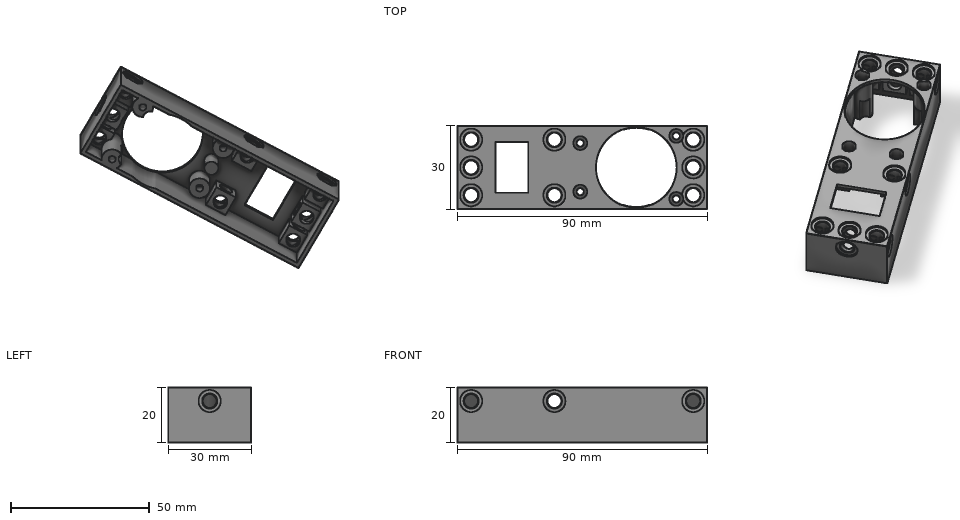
import cadquery as cq
LENGTH = 90.0
WIDTH = 30.0
HEIGHT = 20.0
WALL = 1.5
EDGE_CHAMFER = 0.15

PITCH = 10.0
EDGE_OFFSET = PITCH / 2
MIDDLE_X = 35.0
PEG_DIAMETER = 5.0
PEG_CHAMFER = 0.25
RECESS_DIAMETER = 8.0
RECESS_DEPTH = 0.8
BLOCK_LENGTH = 8.0
BLOCK_WIDTH = 8.5
BLOCK_HEIGHT = 8.0

WINDOW_LENGTH = 11.7
WINDOW_WIDTH = 18.2
WINDOW_X = 19.7

OPENING_DIAMETER = 29.0
OPENING_X = 64.5
WALL_RECESS_WIDTH = 28.4

INNER_POST_X = 44.3
INNER_POST_Y = 8.75
INNER_POST_BOTTOM = HEIGHT / 2
OUTER_POST_X = 78.9
OUTER_POST_Y = 11.35
POST_DIAMETER = 7.5
SCREW_DIAMETER = 2.5
HEAD_DIAMETER = 5.0
HEAD_DEPTH = 5.0

CLEARANCE_X = 74.6
CLEARANCE_Y = 9.0
CLEARANCE_DIAMETER = 5.0
CLEARANCE_HEIGHT = HEIGHT / 2

STUD_DIAMETER = 5.0

CEILING = HEIGHT - WALL
NEAR_X = EDGE_OFFSET
FAR_X = LENGTH - EDGE_OFFSET
SIDE_Y = WIDTH / 2 - EDGE_OFFSET
PEG_Z = HEIGHT - EDGE_OFFSET
PEG_DEPTH_X = EDGE_OFFSET + BLOCK_LENGTH / 2
PEG_DEPTH_Y = EDGE_OFFSET + BLOCK_WIDTH / 2
PEG_DEPTH_Z = EDGE_OFFSET + BLOCK_HEIGHT / 2

PEG_POSITIONS = [(x, y) for x in (NEAR_X, FAR_X) for y in (-SIDE_Y, 0, SIDE_Y)]
PEG_POSITIONS += [(MIDDLE_X, y) for y in (-SIDE_Y, SIDE_Y)]
INNER_POSTS = [(INNER_POST_X, side * INNER_POST_Y) for side in (-1, 1)]
OUTER_POSTS = [(OUTER_POST_X, side * OUTER_POST_Y) for side in (-1, 1)]
CLEARANCES = [(CLEARANCE_X, side * CLEARANCE_Y) for side in (-1, 1)]


def make_envelope():
    """Solid outer block with its upright and top edges broken."""
    block = cq.Workplane("XY").box(LENGTH, WIDTH, HEIGHT, centered=(False, True, False))
    return block.edges("|Z or >Z").chamfer(EDGE_CHAMFER)


def make_cavity():
    """Space inside the walls and below the roof."""
    inner_length = LENGTH - 2 * WALL
    inner_width = WIDTH - 2 * WALL
    cavity = cq.Workplane("XY").box(inner_length, inner_width, CEILING, centered=(False, True, False))
    return cavity.translate((WALL, 0, 0))


def make_cylinders(positions, diameter, bottom, top):
    """Upright cylinders between two heights."""
    base = cq.Workplane("XY").workplane(offset=bottom).pushPoints(positions)
    return base.circle(diameter / 2).extrude(top - bottom)


def make_blocks():
    """Blocks that carry the peg holes, centred on the level of the side holes."""
    base = cq.Workplane("XY").workplane(offset=PEG_Z - BLOCK_HEIGHT / 2).pushPoints(PEG_POSITIONS)
    return base.rect(BLOCK_LENGTH, BLOCK_WIDTH).extrude(BLOCK_HEIGHT)


def make_peg_cutter(face_point, inward, depth):
    """Recess and chamfered bore running `inward` from a point on an outer face."""
    bore_radius = PEG_DIAMETER / 2
    mouth_radius = bore_radius + PEG_CHAMFER
    recess_radius = RECESS_DIAMETER / 2
    half_section = [
        (0, 0),
        (recess_radius, 0),
        (recess_radius, RECESS_DEPTH),
        (mouth_radius, RECESS_DEPTH),
        (bore_radius, RECESS_DEPTH + PEG_CHAMFER),
        (bore_radius, depth),
        (0, depth),
    ]
    turned = cq.Workplane("XZ").polyline(half_section).close().revolve(360, (0, 0), (0, 1))
    frame = cq.Plane(origin=face_point, normal=inward)
    return turned.val().moved(cq.Location(frame))


def cut_peg_holes(body):
    """Peg holes in the roof, both long sides and both ends."""
    for x, y in PEG_POSITIONS:
        body = body.cut(make_peg_cutter((x, y, HEIGHT), (0, 0, -1), PEG_DEPTH_Z))
    for x in (NEAR_X, MIDDLE_X, FAR_X):
        for side in (-1, 1):
            face_point = (x, side * WIDTH / 2, PEG_Z)
            body = body.cut(make_peg_cutter(face_point, (0, -side, 0), PEG_DEPTH_Y))
    for x, direction in ((0, 1), (LENGTH, -1)):
        body = body.cut(make_peg_cutter((x, 0, PEG_Z), (direction, 0, 0), PEG_DEPTH_X))
    return body


def cut_screw_holes(body):
    """Through holes with deep head bores in the posts."""
    screws = INNER_POSTS + OUTER_POSTS
    body = body.cut(make_cylinders(screws, SCREW_DIAMETER, 0, HEIGHT))
    return body.cut(make_cylinders(screws, HEAD_DIAMETER, HEIGHT - HEAD_DEPTH, HEIGHT))


def make_window():
    """Rectangular opening through the roof."""
    base = cq.Workplane("XY").center(WINDOW_X, 0)
    return base.rect(WINDOW_LENGTH, WINDOW_WIDTH).extrude(HEIGHT)


def make_opening():
    """Circle through the roof above a round-ended recess of the same length."""
    base = cq.Workplane("XY").center(OPENING_X, 0)
    recess = base.slot2D(OPENING_DIAMETER, WALL_RECESS_WIDTH).extrude(CEILING)
    circle = base.workplane(offset=CEILING).circle(OPENING_DIAMETER / 2).extrude(WALL)
    return recess.union(circle)


envelope = make_envelope()
inner_posts = make_cylinders(INNER_POSTS, POST_DIAMETER, INNER_POST_BOTTOM, CEILING)
outer_posts = make_cylinders(OUTER_POSTS, POST_DIAMETER, 0, CEILING).intersect(envelope)
outer_posts = outer_posts.cut(make_cylinders(CLEARANCES, CLEARANCE_DIAMETER, 0, CLEARANCE_HEIGHT))
stud = make_cylinders([(INNER_POST_X, 0)], STUD_DIAMETER, INNER_POST_BOTTOM, CEILING)

body = envelope.cut(make_cavity())
body = body.union(make_blocks()).union(inner_posts).union(outer_posts).union(stud)
body = body.cut(make_window()).cut(make_opening())
body = cut_peg_holes(body)
result = cut_screw_holes(body)